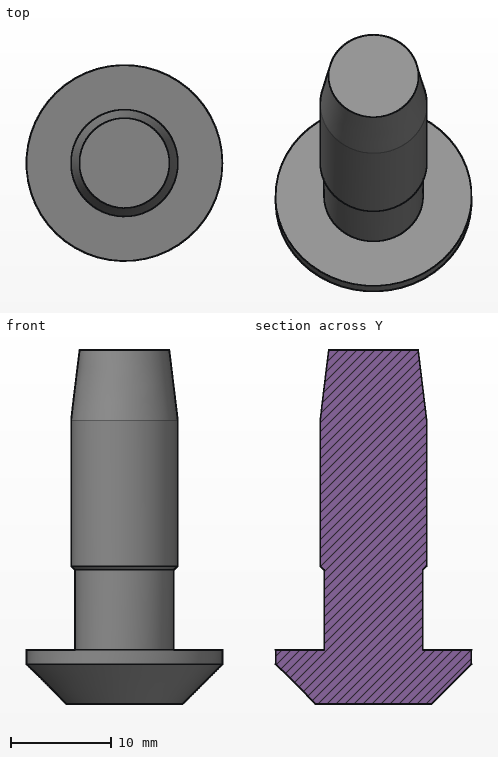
import cadquery as cq

total_length = 35.4

head_diameter = 19.6
head_cone_height = 4.0
head_rim_height = 1.4
head_base_diameter = head_diameter - 2 * head_cone_height

neck_diameter = 9.9
neck_length = 8.0
body_diameter = 10.7
tip_diameter = 9.0
tip_length = 7.0

shoulder_height = (body_diameter - neck_diameter) / 2

head_top = head_cone_height + head_rim_height
neck_top = head_top + neck_length
body_bottom = neck_top + shoulder_height
body_top = total_length - tip_length

half_profile = (
    cq.Workplane("XZ")
    .moveTo(0, 0)
    .lineTo(head_base_diameter / 2, 0)
    .lineTo(head_diameter / 2, head_cone_height)
    .lineTo(head_diameter / 2, head_top)
    .lineTo(neck_diameter / 2, head_top)
    .lineTo(neck_diameter / 2, neck_top)
    .lineTo(body_diameter / 2, body_bottom)
    .lineTo(body_diameter / 2, body_top)
    .lineTo(tip_diameter / 2, total_length)
    .lineTo(0, total_length)
    .close()
)

result = half_profile.revolve(360, (0, 0, 0), (0, 1, 0))